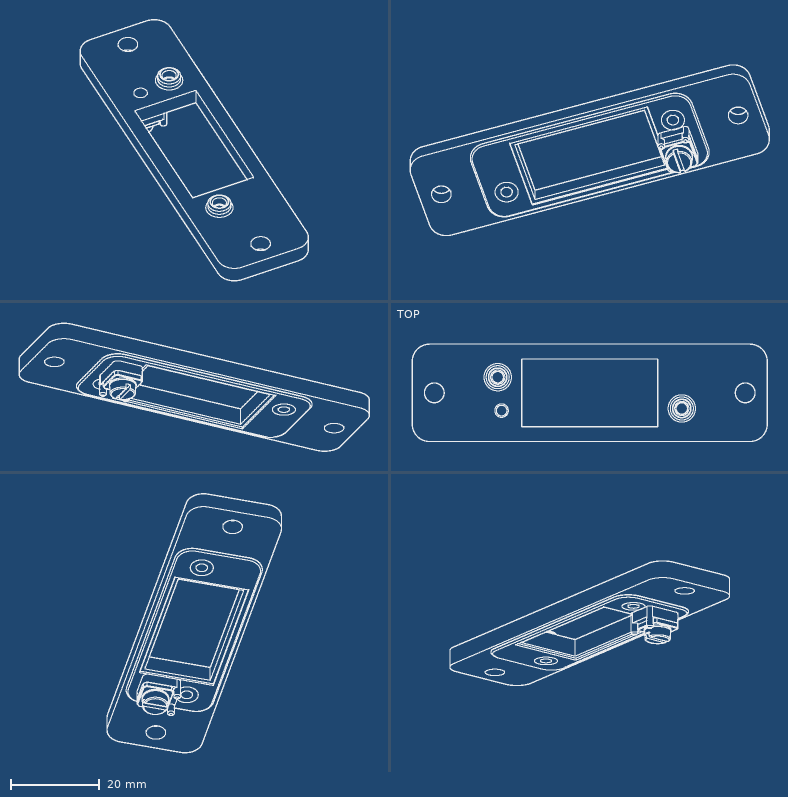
import cadquery as cq

PLATE_LENGTH = 80
PLATE_WIDTH = 22.0
PLATE_THICKNESS = 4
PLATE_CORNER_RADIUS = 4

PANEL_LENGTH = 52.2
PANEL_WIDTH = 20.2
PANEL_HEIGHT = 0.5
PANEL_BEVEL = 0.4

WINDOW_LENGTH = 30.6
WINDOW_WIDTH = 15.2
PANEL_SETBACK = 1.0

MOUNT_HOLE_DIAMETER = 4.4
MOUNT_HOLE_SPACING = 70.0

BUSHING_CENTRES = [(-20.7, 3.5), (20.7, -3.5)]
BUSHING_DIAMETER = 5.2
BUSHING_HEIGHT = 1.9
BUSHING_BEVEL = 0.5
BUSHING_BORE_DIAMETER = 2.6
BUSHING_COUNTERBORE_DIAMETER = 3.2
BUSHING_COUNTERSINK = 0.4
BUSHING_COUNTERBORE_DEPTH = 2.4

ADJUSTER_X = -19.8
ADJUSTER_Y = -4
ACCESS_HOLE_DIAMETER = 3.0
PILOT_DIAMETER = 2.4
PILOT_HEIGHT = 0.5

CASE_LENGTH = 7.2
CASE_WIDTH = 8.7
CASE_CORNER_RADIUS = 1.2
CASE_HEIGHT = 2.5
STEP_SIZE = 7.0
STEP_HEIGHT = 1.2
STEP_BEVEL = 0.2
STEP_CORNER_CHAMFER = 0.6

LEG_DIAMETER = 1.5
LEG_BEVEL = 0.4
LEG_DEPTH = 5.5

COLLAR_DIAMETER = 6.1
COLLAR_HEIGHT = 0.3
SHAFT_TOP_DIAMETER = 5.9
SHAFT_TIP_DIAMETER = 5.7
SHAFT_BEVEL = 0.2
SLOT_WIDTH = 1.0
SLOT_DEPTH = 1.1
OVERALL_HEIGHT = 12.6

plate_bottom = -PLATE_THICKNESS
panel_bottom = plate_bottom - PANEL_HEIGHT
case_bottom = panel_bottom - CASE_HEIGHT
step_bottom = case_bottom - STEP_HEIGHT
collar_bottom = step_bottom - COLLAR_HEIGHT
leg_bottom = plate_bottom - LEG_DEPTH
shaft_bottom = BUSHING_HEIGHT - OVERALL_HEIGHT

case_front = ADJUSTER_Y - CASE_LENGTH / 2
case_centre_y = case_front + CASE_WIDTH / 2
leg_offset_x = (CASE_LENGTH - LEG_DIAMETER) / 2
leg_y = case_front + CASE_WIDTH - LEG_DIAMETER / 2


def cylinder_between(x, y, diameter, bottom, top):
    """Upright cylinder at (x, y) from Z = bottom to Z = top."""
    return cq.Workplane("XY", origin=(x, y, bottom)).circle(diameter / 2).extrude(top - bottom)


def block_between(x, y, length, width, bottom, top):
    """Upright rectangular block centred on (x, y) from Z = bottom to Z = top."""
    return cq.Workplane("XY", origin=(x, y, bottom)).rect(length, width).extrude(top - bottom)


def make_plate():
    """Rounded plate with its bevelled panel, window and holes."""
    plate = block_between(0, 0, PLATE_LENGTH, PLATE_WIDTH, plate_bottom, 0)
    plate = plate.edges("|Z").fillet(PLATE_CORNER_RADIUS)

    panel = block_between(0, 0, PANEL_LENGTH, PANEL_WIDTH, panel_bottom, plate_bottom)
    panel = panel.edges("|Z").fillet(PLATE_CORNER_RADIUS)
    panel = panel.faces("<Z").chamfer(PANEL_BEVEL)
    opening = block_between(
        0, 0, WINDOW_LENGTH + 2 * PANEL_SETBACK, WINDOW_WIDTH + 2 * PANEL_SETBACK,
        panel_bottom, plate_bottom)
    plate = plate.union(panel.cut(opening))

    window = block_between(0, 0, WINDOW_LENGTH, WINDOW_WIDTH, plate_bottom, 0)
    plate = plate.cut(window)

    for side in (-1, 1):
        plate = plate.cut(cylinder_between(
            side * MOUNT_HOLE_SPACING / 2, 0, MOUNT_HOLE_DIAMETER, panel_bottom, 0))
    for x, y in BUSHING_CENTRES:
        plate = plate.cut(cylinder_between(x, y, BUSHING_DIAMETER, panel_bottom, 0))
    return plate.cut(cylinder_between(ADJUSTER_X, ADJUSTER_Y, ACCESS_HOLE_DIAMETER, panel_bottom, 0))


def make_bushing(x, y):
    """Bushing with a flared foot on the plate, a countersunk rim and a stepped bore."""
    outer = BUSHING_DIAMETER / 2
    bore = BUSHING_BORE_DIAMETER / 2
    counterbore = BUSHING_COUNTERBORE_DIAMETER / 2
    rim = outer - BUSHING_BEVEL
    counterbore_floor = BUSHING_HEIGHT - BUSHING_COUNTERBORE_DEPTH
    half_section = [
        (bore, panel_bottom),
        (outer, panel_bottom),
        (outer, 0),
        (outer + BUSHING_BEVEL, 0),
        (outer, BUSHING_BEVEL),
        (outer, BUSHING_HEIGHT - BUSHING_BEVEL),
        (rim, BUSHING_HEIGHT),
        (counterbore + BUSHING_COUNTERSINK, BUSHING_HEIGHT),
        (counterbore, BUSHING_HEIGHT - BUSHING_COUNTERSINK),
        (counterbore, counterbore_floor),
        (bore, counterbore_floor),
    ]
    bushing = cq.Workplane("XZ").polyline(half_section).close().revolve(360, (0, 0), (0, 1))
    return bushing.translate((x, y, 0))


def make_adjuster():
    """Case with a square step, two legs and a slotted shaft, located by a pilot in the access hole."""
    case = block_between(
        ADJUSTER_X, case_centre_y, CASE_LENGTH, CASE_WIDTH, case_bottom, panel_bottom)
    case = case.edges("|Z").fillet(CASE_CORNER_RADIUS)

    step = block_between(
        ADJUSTER_X, ADJUSTER_Y, STEP_SIZE, STEP_SIZE, step_bottom, case_bottom)
    step = step.edges("|Z").chamfer(STEP_CORNER_CHAMFER)
    step = step.faces("<Z").chamfer(STEP_BEVEL)

    collar = cylinder_between(ADJUSTER_X, ADJUSTER_Y, COLLAR_DIAMETER, collar_bottom, step_bottom)
    shaft = cq.Workplane("XY", origin=(ADJUSTER_X, ADJUSTER_Y, shaft_bottom))
    shaft = shaft.circle(SHAFT_TIP_DIAMETER / 2)
    shaft = shaft.workplane(offset=collar_bottom - shaft_bottom).circle(SHAFT_TOP_DIAMETER / 2).loft()
    shaft = shaft.faces("<Z").chamfer(SHAFT_BEVEL)
    slot = block_between(ADJUSTER_X, ADJUSTER_Y, SLOT_WIDTH, SHAFT_TOP_DIAMETER,
                         shaft_bottom, shaft_bottom + SLOT_DEPTH)

    pilot = cylinder_between(
        ADJUSTER_X, ADJUSTER_Y, PILOT_DIAMETER, panel_bottom, panel_bottom + PILOT_HEIGHT)

    adjuster = case.union(step).union(collar).union(shaft.cut(slot)).union(pilot)
    for side in (-1, 1):
        leg = cylinder_between(
            ADJUSTER_X + side * leg_offset_x, leg_y, LEG_DIAMETER, leg_bottom, panel_bottom)
        adjuster = adjuster.union(leg.faces("<Z").chamfer(LEG_BEVEL))
    return adjuster


plate = make_plate()
bushings = [make_bushing(x, y) for x, y in BUSHING_CENTRES]
adjuster = make_adjuster()

result = cq.Compound.makeCompound([
    plate.val(),
    *[bushing.val() for bushing in bushings],
    adjuster.val(),
])